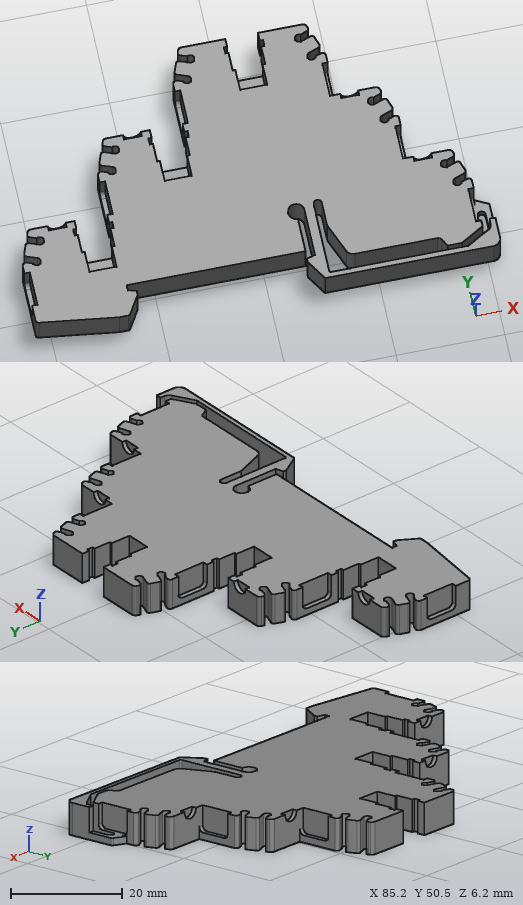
import cadquery as cq
import math

LENGTH = 85.2
HEIGHT = 50.5
THICKNESS = 6.2
OVERCUT = 1.0

TIER_RISE = 15.0
TIER_TOPS = [HEIGHT - 2 * TIER_RISE, HEIGHT - TIER_RISE, HEIGHT]
LEFT_STEP = 17.0
RIGHT_STEP = 10.25
LEFT_WALLS = [0.0, LEFT_STEP, 2 * LEFT_STEP]
RIGHT_WALL_BOTTOM = 82.6
RIGHT_WALLS = [RIGHT_WALL_BOTTOM - i * RIGHT_STEP for i in range(3)]
INWARD_FROM_LEFT = 1
INWARD_FROM_RIGHT = -1

NOTCH_WIDTH = 6.0
NOTCH_DEPTH = 6.4
TOP_NOTCH_CENTRE = (LEFT_WALLS[2] + RIGHT_WALLS[2]) / 2
NOTCH_CENTRES = [LEFT_WALLS[1] - NOTCH_WIDTH / 2, LEFT_WALLS[2] - NOTCH_WIDTH / 2, TOP_NOTCH_CENTRE]
NICK_DEPTH = 0.6
NICK_HEIGHT = 1.2
NICK_DROP = 2.2
POCKET_WIDTH = 5.0
POCKET_DEPTH = 4.1
FLOOR_THICKNESS = 1.4

SLANT = math.radians(20)
SLANT_OFFSET = 2.25
SLOT_WIDTH = 1.2
FINGER_WIDTH = 2.7
UPPER_SLOT_EDGE = -1.8
SLOT_END = 5.45
BULB_RADIUS = 0.75
FINGER_ROUND = 0.5
SHOULDER_ROUND = 0.8
WALL_ROUND = 0.6

RECESS_DROP = 8.4
RECESS_DEPTH = 1.0
RECESS_CORNER = 1.0
DIMPLE_INSET = 7.7
DIMPLE_RADIUS = 1.65
DIMPLE_DEPTH = 0.9

RAIL_SEAT = 6.0
LEFT_WALL_BASE = 2.0
LEFT_FOOT_FLAT = 14.9
LEFT_FOOT_HEEL = 16.8
LEFT_FOOT_ROUND = 0.5
LEFT_SEAT_WALL = 17.5
CLAW_REACH = 1.55
CLAW_TOP = 4.95
CLAW_SHOULDER = 4.5
CLAW_TIP = 3.75

RELIEF_WIDTH = 1.5
SPRING_LEG_LEFT = 51.9
SEAT_END = SPRING_LEG_LEFT - RELIEF_WIDTH
RELIEF_RADIUS = 1.5
RELIEF_CENTRE_HEIGHT = 14.1
SPRING_HEEL = 52.7
HOOK_CORNER_RADIUS = 1.5
HOOK_TIP_RADIUS = 0.5
HOOK_SHOULDER = 10.7
HOOK_TOP = 12.0

GAP_LEFT = 53.75
GAP_WIDTH = 1.5
GAP_TOP = 15.6
GAP_BOTTOM = 1.0
GAP_RIGHT = RIGHT_WALL_BOTTOM + GAP_WIDTH
HOOK_GAP_TOP = 9.5
BELLY_TOP = 10.2
BELLY_LEFT = 57.9
BELLY_BOTTOM = 3.65
BELLY_RIGHT = 74.6
KEEL_BOTTOM = 1.8
KEEL_LEFT = 75.6
KEEL_RIGHT = 78.3
KEEL_RISE = 4.3
RAMP_LEFT = 79.25
RAMP_TOP = 3.8
BEND_RADIUS = 1.5
BELLY_RIGHT_RADIUS = 0.8
GAP_CORNER_RADIUS = 0.3


def block(x0, x1, y0, y1, z0, z1):
    """Box given by its limits along each axis."""
    return cq.Workplane("XY").box(x1 - x0, y1 - y0, z1 - z0, centered=False).translate((x0, y0, z0))


def vertical_edges_at(body, points):
    """Body with its Z-parallel edges through the given (x, y) points selected."""
    tolerance = 0.01
    found = [
        edge for edge in body.edges("|Z").vals()
        if any(math.dist((edge.Center().x, edge.Center().y), point) < tolerance for point in points)
    ]
    return body.newObject(found)


def slant_point(tier, wall, inward, along, up):
    """Point from axes square to and along the slanted face, centred on the square tier corner."""
    x = along * math.cos(SLANT) + up * math.sin(SLANT)
    y = up * math.cos(SLANT) - along * math.sin(SLANT)
    return (wall + inward * x, TIER_TOPS[tier] + y)


def make_body():
    """Stepped plate with the left rail foot and the outside of the spring foot."""
    left_claw = LEFT_SEAT_WALL + CLAW_REACH
    right_claw = SPRING_LEG_LEFT - CLAW_REACH
    stair_up = []
    for tier in range(3):
        stair_up.append((LEFT_WALLS[tier], TIER_TOPS[tier]))
        if tier < 2:
            stair_up.append((LEFT_WALLS[tier + 1], TIER_TOPS[tier]))
    stair_down = []
    for tier in (2, 1, 0):
        stair_down.append((RIGHT_WALLS[tier], TIER_TOPS[tier]))
        if tier > 0:
            stair_down.append((RIGHT_WALLS[tier], TIER_TOPS[tier - 1]))
    relief_side = (SEAT_END - RELIEF_RADIUS, RELIEF_CENTRE_HEIGHT)
    relief_base = (SEAT_END, RELIEF_CENTRE_HEIGHT - RELIEF_RADIUS)
    relief_top = (SEAT_END, RELIEF_CENTRE_HEIGHT + RELIEF_RADIUS)
    outline = (
        cq.Workplane("XY")
        .polyline([(0, LEFT_WALL_BASE)] + stair_up + stair_down + [
            (RIGHT_WALL_BOTTOM, HOOK_TOP),
            (LENGTH, HOOK_SHOULDER),
            (LENGTH, 0),
            (SPRING_HEEL, 0),
            (right_claw, CLAW_TIP),
            (right_claw, CLAW_SHOULDER),
            (SPRING_LEG_LEFT, CLAW_TOP),
            (SPRING_LEG_LEFT, RELIEF_CENTRE_HEIGHT),
        ])
        .radiusArc(relief_top, -RELIEF_RADIUS)
        .radiusArc(relief_side, -RELIEF_RADIUS)
        .radiusArc(relief_base, -RELIEF_RADIUS)
        .lineTo(SEAT_END, RAIL_SEAT)
        .lineTo(LEFT_SEAT_WALL, RAIL_SEAT)
        .lineTo(LEFT_SEAT_WALL, CLAW_TOP)
        .lineTo(left_claw, CLAW_SHOULDER)
        .lineTo(left_claw, CLAW_TIP)
        .lineTo(LEFT_FOOT_HEEL, 0)
        .lineTo(LEFT_FOOT_FLAT, 0)
        .close()
    )
    body = outline.extrude(THICKNESS)
    left_foot_corners = [(0, LEFT_WALL_BASE), (LEFT_FOOT_HEEL, 0)]
    body = vertical_edges_at(body, left_foot_corners).fillet(LEFT_FOOT_ROUND)
    body = vertical_edges_at(body, [(LENGTH, 0)]).fillet(HOOK_CORNER_RADIUS)
    return vertical_edges_at(body, [(LENGTH, HOOK_SHOULDER)]).fillet(HOOK_TIP_RADIUS)


def make_gap():
    """Through slot that frees the spring foot from the body."""
    gap_radius = GAP_WIDTH / 2
    gap = (
        cq.Workplane("XY")
        .moveTo(GAP_LEFT, GAP_BOTTOM)
        .lineTo(GAP_LEFT, GAP_TOP - gap_radius)
        .radiusArc((GAP_LEFT + GAP_WIDTH, GAP_TOP - gap_radius), gap_radius)
        .lineTo(GAP_LEFT + GAP_WIDTH, BELLY_TOP)
        .lineTo(BELLY_LEFT, BELLY_BOTTOM)
        .lineTo(BELLY_RIGHT, BELLY_BOTTOM)
        .lineTo(KEEL_LEFT, KEEL_BOTTOM)
        .lineTo(KEEL_RIGHT, KEEL_BOTTOM)
        .lineTo(RIGHT_WALL_BOTTOM, KEEL_RISE)
        .lineTo(RIGHT_WALL_BOTTOM, HOOK_GAP_TOP - gap_radius)
        .radiusArc((GAP_RIGHT, HOOK_GAP_TOP - gap_radius), gap_radius)
        .lineTo(GAP_RIGHT, RAMP_TOP)
        .lineTo(RAMP_LEFT, GAP_BOTTOM)
        .close()
        .extrude(THICKNESS)
    )
    bends = [(BELLY_LEFT, BELLY_BOTTOM), (GAP_RIGHT, RAMP_TOP)]
    gap = vertical_edges_at(gap, bends).fillet(BEND_RADIUS)
    gap = vertical_edges_at(gap, [(BELLY_RIGHT, BELLY_BOTTOM)]).fillet(BELLY_RIGHT_RADIUS)
    return vertical_edges_at(gap, [(GAP_LEFT, GAP_BOTTOM)]).fillet(GAP_CORNER_RADIUS)


def cut_slotted_corner(body, tier, wall, inward):
    """Slant one tier corner and cut its two bulb-ended slots with rounded mouths."""
    def local(along, up):
        return slant_point(tier, wall, inward, along, up)

    def extruded(points):
        return cq.Workplane("XY").polyline(points).close().extrude(THICKNESS)

    upper_edge = UPPER_SLOT_EDGE
    lower_edge = UPPER_SLOT_EDGE - FINGER_WIDTH
    shoulder = (wall + inward * SLANT_OFFSET / math.cos(SLANT), TIER_TOPS[tier])
    slant_end = local(SLANT_OFFSET, lower_edge)
    body = body.cut(extruded([shoulder, slant_end, local(0, lower_edge), (wall, TIER_TOPS[tier])]))

    bulb_along = SLOT_END - BULB_RADIUS
    for finger_edge, away in ((upper_edge, 1), (lower_edge, -1)):
        far_edge = finger_edge + away * SLOT_WIDTH
        slot = extruded([
            local(0, finger_edge),
            local(bulb_along, finger_edge),
            local(bulb_along, far_edge),
            local(0, far_edge),
        ])
        bulb_centre = local(bulb_along, finger_edge + away * BULB_RADIUS)
        bulb = cq.Workplane("XY").center(*bulb_centre).circle(BULB_RADIUS).extrude(THICKNESS)
        body = body.cut(slot.union(bulb))

    finger_corners = [
        slant_end,
        local(SLANT_OFFSET, upper_edge),
        local(SLANT_OFFSET, upper_edge + SLOT_WIDTH),
    ]
    slot_at_wall = (wall, TIER_TOPS[tier] + (lower_edge - SLOT_WIDTH) / math.cos(SLANT))
    body = vertical_edges_at(body, finger_corners).fillet(FINGER_ROUND)
    body = vertical_edges_at(body, [shoulder]).fillet(SHOULDER_ROUND)
    return vertical_edges_at(body, [slot_at_wall]).fillet(WALL_ROUND)


def cut_notch(body, tier):
    """Through notch with detent nicks, and the blind pocket below it."""
    top = TIER_TOPS[tier]
    centre = NOTCH_CENTRES[tier]
    notch_floor = top - NOTCH_DEPTH
    half = NOTCH_WIDTH / 2
    nick_half = half + NICK_DEPTH
    nick_low = top - NICK_DROP - NICK_HEIGHT / 2
    pocket_half = POCKET_WIDTH / 2
    notch = block(centre - half, centre + half, notch_floor, top, 0, THICKNESS)
    nicks = block(centre - nick_half, centre + nick_half, nick_low, nick_low + NICK_HEIGHT, 0, THICKNESS)
    pocket = block(centre - pocket_half, centre + pocket_half, notch_floor - POCKET_DEPTH, notch_floor,
                   FLOOR_THICKNESS, THICKNESS)
    return body.cut(notch).cut(nicks).cut(pocket)


def cut_recess(body, tier, wall, inward):
    """Shallow side recess, open to +Z, with rounded lower corners."""
    low = TIER_TOPS[tier] - TIER_RISE
    high = TIER_TOPS[tier] - RECESS_DROP
    edges = sorted([wall - inward * OVERCUT, wall + inward * RECESS_DEPTH])
    recess = block(edges[0], edges[1], low, high, FLOOR_THICKNESS, THICKNESS + 2 * RECESS_CORNER)
    return body.cut(recess.edges("|X and <Z").fillet(RECESS_CORNER))


def lower_hook(body):
    """Thin the hook of the spring foot to the recess floor beside the lowest right wall."""
    low = TIER_TOPS[0] - TIER_RISE
    return body.cut(block(RIGHT_WALL_BOTTOM, LENGTH, low, HOOK_TOP, FLOOR_THICKNESS, THICKNESS))


def cut_dimple(body, tier, wall, inward):
    """Shallow round dimple in a tier top, centred on the +Z face."""
    centre = cq.Vector(wall + inward * DIMPLE_INSET, TIER_TOPS[tier] - DIMPLE_DEPTH, THICKNESS)
    dimple = cq.Solid.makeCylinder(DIMPLE_RADIUS, DIMPLE_DEPTH, centre, cq.Vector(0, 1, 0))
    return body.cut(cq.Workplane(obj=dimple))


result = lower_hook(make_body().cut(make_gap()))
for level in range(3):
    result = cut_notch(result, level)
    for side_wall, direction in (
        (LEFT_WALLS[level], INWARD_FROM_LEFT),
        (RIGHT_WALLS[level], INWARD_FROM_RIGHT),
    ):
        result = cut_slotted_corner(result, level, side_wall, direction)
        result = cut_recess(result, level, side_wall, direction)
        if level < 2:
            result = cut_dimple(result, level, side_wall, direction)